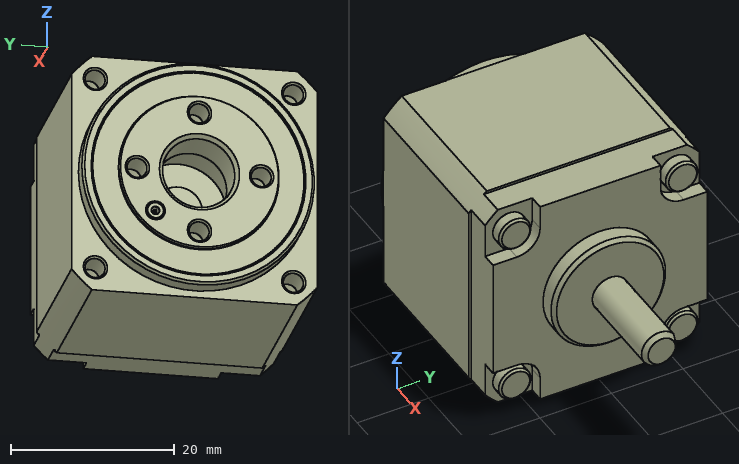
import cadquery as cq
import math


body_size = 30.7
cover_size = 30.0
corner_diameter = 40.0
front_pilot_diameter = 29.0
front_pilot_chamfer = 0.3
rear_pilot_diameter = 16.0
rear_pilot_chamfer = 0.5

front_pilot_start = 0.6
body_start = 3.0
body_end = 24.5
notch_floor = 28.0
cover_end = 30.0
rear_pilot_end = 32.5

screw_circle_diameter = 33.0
screw_head_diameter = 4.5
screw_head_height = 1.75
screw_head_chamfer = 0.3
notch_radius = 3.25

mounting_circle_diameter = 35.0
flange_circle_diameter = 15.5
tapped_hole_diameter = 2.5
tapped_hole_mouth_diameter = 3.0
tapped_hole_depth = 4.0
drill_point_half_angle = math.radians(59)

flange_diameter = 26.4
flange_thickness = 5.5
flange_pad_diameter = 20.0
pad_chamfer_length = 0.3
pad_chamfer_width = 0.15
bore_diameter = 9.0
bore_chamfer = 0.5
seat_chamfer = 0.2

plug_hole_diameter = 2.4
plug_tip_diameter = 2.0
plug_recess_diameter = 1.0
plug_recess_depth = 0.2
plug_center_diameter = 0.4
plug_center_depth = 0.5

hollow_diameter = 12.0
hollow_end = 13.0
shaft_root_diameter = 6.0
shaft_diameter = 5.0
shaft_end = 45.5
shaft_chamfer = 0.6
flat_start = 34.5
flat_height = 2.0


def disc(diameter, start, end):
    """Cylinder on the X axis."""
    return cq.Workplane("YZ", origin=(start, 0, 0)).circle(diameter / 2).extrude(end - start)


def round_cornered_block(size, start, end):
    """Square block whose corners are turned to the common corner diameter."""
    length = end - start
    block = cq.Workplane("YZ", origin=(start, 0, 0)).rect(size, size).extrude(length)
    return block.intersect(disc(corner_diameter, start, end))


def diagonal_points(circle_diameter):
    """The four points at 45 degrees on a circle, as (y, z)."""
    offset = circle_diameter / 2 / math.sqrt(2)
    return [(y * offset, z * offset) for y in (-1, 1) for z in (-1, 1)]


def axis_points(circle_diameter):
    """The four points on the Y and Z axes of a circle, as (y, z)."""
    radius = circle_diameter / 2
    return [(radius, 0), (-radius, 0), (0, radius), (0, -radius)]


def tapped_hole(face_x, y, z):
    """Cutter for a blind drilled hole with a chamfered mouth and a conical bottom."""
    radius = tapped_hole_diameter / 2
    mouth_radius = tapped_hole_mouth_diameter / 2
    tip_depth = tapped_hole_depth + radius / math.tan(drill_point_half_angle)
    return (
        cq.Workplane("XY")
        .moveTo(0, 0)
        .lineTo(0, mouth_radius)
        .lineTo(mouth_radius - radius, radius)
        .lineTo(tapped_hole_depth, radius)
        .lineTo(tip_depth, 0)
        .close()
        .revolve(360, (0, 0, 0), (1, 0, 0))
        .translate((face_x, y, z))
    )


def corner_notch(y, z):
    """Cutter that opens a cover corner around a screw, with a rounded inner corner."""
    reach = 2 * (cover_size / 2 - abs(y) + notch_radius)
    outward_y = math.copysign(reach / 2 - notch_radius, y)
    outward_z = math.copysign(reach / 2 - notch_radius, z)
    return (
        cq.Workplane("YZ", origin=(notch_floor, y + outward_y, z + outward_z))
        .rect(reach, reach)
        .extrude(cover_end - notch_floor)
        .edges("|X")
        .fillet(notch_radius)
    )


def screw_head(y, z):
    head = disc(screw_head_diameter, notch_floor, notch_floor + screw_head_height)
    return head.faces(">X").chamfer(screw_head_chamfer).translate((0, y, z))


def make_housing():
    front_pilot = disc(front_pilot_diameter, front_pilot_start, body_start)
    front_pilot = front_pilot.faces("<X").chamfer(front_pilot_chamfer)
    rear_pilot = disc(rear_pilot_diameter, cover_end, rear_pilot_end)
    rear_pilot = rear_pilot.faces(">X").chamfer(rear_pilot_chamfer)
    housing = round_cornered_block(body_size, body_start, body_end)
    housing = housing.union(round_cornered_block(cover_size, body_end, cover_end))
    housing = housing.union(front_pilot).union(rear_pilot)

    for y, z in diagonal_points(screw_circle_diameter):
        housing = housing.cut(corner_notch(y, z)).union(screw_head(y, z))
    for y, z in diagonal_points(mounting_circle_diameter):
        housing = housing.cut(tapped_hole(body_start, y, z))

    seat_chamfer_cone = (
        cq.Workplane("YZ", origin=(front_pilot_start, 0, 0))
        .circle(flange_diameter / 2 + seat_chamfer)
        .workplane(offset=seat_chamfer)
        .circle(flange_diameter / 2)
        .loft()
    )
    housing = housing.cut(disc(flange_diameter, front_pilot_start, flange_thickness))
    housing = housing.cut(seat_chamfer_cone)
    housing = housing.cut(disc(hollow_diameter, flange_thickness, hollow_end))
    housing = housing.cut(disc(shaft_root_diameter, hollow_end, body_end))
    return housing.cut(disc(shaft_diameter, body_end, rear_pilot_end))


def plug_cutter():
    """V groove around the plug and the stepped round recess in its middle."""
    groove_depth = (plug_hole_diameter - plug_tip_diameter) / 2
    plug_tip = (
        cq.Workplane("YZ")
        .circle(plug_tip_diameter / 2)
        .workplane(offset=groove_depth)
        .circle(plug_hole_diameter / 2)
        .loft()
    )
    groove = disc(plug_hole_diameter, 0, groove_depth).cut(plug_tip)
    recess = disc(plug_recess_diameter, 0, plug_recess_depth)
    recess = recess.union(disc(plug_center_diameter, 0, plug_center_depth))
    offset = flange_circle_diameter / 2 / math.sqrt(2)
    return groove.union(recess).translate((0, offset, -offset))


def make_flange():
    pad = disc(flange_pad_diameter, 0, front_pilot_start)
    pad = pad.faces("<X").chamfer(pad_chamfer_length, pad_chamfer_width)
    flange = disc(flange_diameter, front_pilot_start, flange_thickness).union(pad)
    flange = flange.cut(disc(bore_diameter, 0, flange_thickness))
    flange = flange.faces("<X").edges(cq.selectors.RadiusNthSelector(0)).chamfer(bore_chamfer)
    for y, z in axis_points(flange_circle_diameter):
        flange = flange.cut(tapped_hole(0, y, z))
    return flange.cut(plug_cutter())


def make_shaft():
    shaft = disc(shaft_diameter, body_end, shaft_end).faces(">X").chamfer(shaft_chamfer)
    flat_cutter = cq.Workplane("XY").box(
        shaft_end - flat_start, shaft_diameter, shaft_diameter, centered=(False, False, True)
    )
    shaft = shaft.cut(flat_cutter.translate((flat_start, flat_height, 0)))
    return shaft.union(disc(shaft_root_diameter, hollow_end, body_end))


housing = make_housing()
output_flange = make_flange()
input_shaft = make_shaft()

result = cq.Compound.makeCompound([housing.val(), output_flange.val(), input_shaft.val()])